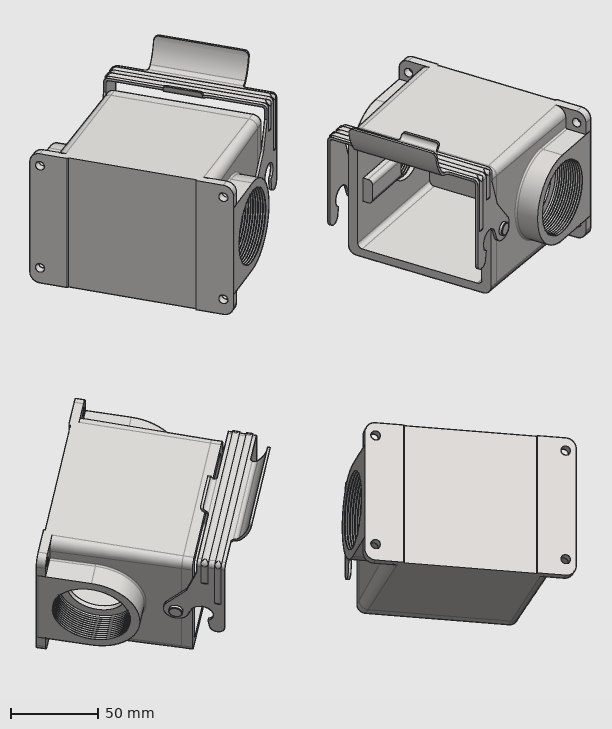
import math

import cadquery as cq


flange_half_x = 124.33 / 2
flange_half_z = 42.25
flange_thickness = 5.5
flange_corner_radius = 6.2
draft_angle = 1.0
screw_hole_diameter = 5.5
screw_hole_half_pitch_x = 55.9
screw_hole_heights = (34.4, -32.4)
relief_half_width = 39.4
relief_depth = 1.0
relief_side_slope = 0.6

body_half_x = 48.8
body_half_z = flange_half_z
body_corner_radius = 6.7
drafted_length = 82.3
mouth_y = 88.5

cavity_half_x = 41.2
cavity_half_z = 35.5
cavity_start_y = 6.5
cavity_corner_radius = 3.0
pad_inner_x = 35.0
pad_half_z = 7.8
pad_edge_radius = 3.0
pad_start_y = 46.0

entry_y = 32.3
entry_radius = 28.35
entry_start_y = 1.1
entry_face_x = 62.145
entry_root_fillet = 1.0
entry_bore_diameter = 35.0
thread_minor_diameter = 45.5
thread_major_diameter = 47.0
thread_pitch = 1.5
thread_count = 11
thread_depth = 17.9

sheet = 1.6
lever_half_x = 49.9
lever_top_z = 46.3
lever_bend_radius = 3.2
lever_back_y = 107.9
lever_front_y = 91.5
pivot_y = 79.5
pivot_pad_radius = 7.5
hook_y = 94.7
hook_radius = 6.6
hook_notch_end_angle = -40.0
hook_tail_radius = 4.5
hook_tail_bottom_z = -14.65
hook_nose = (98.0, -5.4)
hook_nose_radius = 0.8
shoulder_z = 37.0
knee = (85.6, 19.4)
knee_radius = 3.0

rib_height = 0.95
rib_side_height = 0.5
ribs = ((103.9, 3.8, 11.4), (96.1, 4.2, 28.4))

handle_half_x = 28.95
handle_tip = (119.98, 63.9)
handle_bend_start_y = 109.1
handle_bend_radius = 4.2
handle_bend_angle = 51.0
handle_tip_radius = 3.2
handle_neck_radius = 2.3
lip_half_x = 12.1
lip_radius = 4.9
lip_bend_start_y = lever_front_y
lip_top_z = 50.1
lip_tip_radius = 2.1
lip_neck_radius = 1.6

rivet_radius = 4.05
rivet_head_x = 51.95
rivet_chamfer = 0.4
rivet_seat_x = 46.5


def slab(half_x, half_z, corner_radius, start_y, end_y, taper=0):
    """Rounded rectangle in the XZ plane, extruded along +Y."""
    plane = cq.Plane(origin=(0, start_y, 0), xDir=(1, 0, 0), normal=(0, 1, 0))
    outline = cq.Sketch().rect(2 * half_x, 2 * half_z).vertices().fillet(corner_radius)
    return cq.Workplane(plane).placeSketch(outline).extrude(end_y - start_y, taper=taper)


def across_x(profile, half_x):
    """Closed YZ profile extruded symmetrically about X = 0."""
    return profile.extrude(half_x, both=True)


def x_cylinder(radius, start_x, end_x, y=entry_y):
    """Cylinder along X at height Z = 0."""
    return cq.Workplane("YZ", origin=(start_x, y, 0)).circle(radius).extrude(end_x - start_x)


def make_shell():
    """Drafted flange and body with a straight collar at the mouth."""
    flange = slab(flange_half_x, flange_half_z, flange_corner_radius, 0, flange_thickness, draft_angle)
    shrink = drafted_length * math.tan(math.radians(draft_angle))
    body = slab(body_half_x, body_half_z, body_corner_radius, 0, drafted_length, draft_angle)
    collar = slab(
        body_half_x - shrink,
        body_half_z - shrink,
        body_corner_radius - shrink,
        drafted_length,
        mouth_y,
    )
    return flange.union(body).union(collar)


def make_entry_bosses():
    """Round-ended bosses that run from the cable entries down to the flange, on both sides."""
    profile = (
        cq.Workplane("YZ")
        .moveTo(entry_start_y, -entry_radius)
        .lineTo(entry_y, -entry_radius)
        .threePointArc((entry_y + entry_radius, 0), (entry_y, entry_radius))
        .lineTo(entry_start_y, entry_radius)
        .close()
    )
    return across_x(profile, entry_face_x)


def make_wall_pad():
    """Pad on the inside of the +X wall, between the cable entry and the collar."""
    size = (cavity_half_x - pad_inner_x, drafted_length - pad_start_y, 2 * pad_half_z)
    return (
        cq.Workplane("XY")
        .box(*size, centered=(False, False, True))
        .translate((pad_inner_x, pad_start_y, 0))
        .edges("|Y and <X")
        .fillet(pad_edge_radius)
    )


def make_cavity():
    """Wiring space, open at the mouth, that leaves the two wall pads standing."""
    cavity = slab(cavity_half_x, cavity_half_z, cavity_corner_radius, cavity_start_y, mouth_y)
    pad = make_wall_pad()
    return cavity.cut(pad).cut(pad.mirror("YZ"))


def make_thread_bore():
    """Threaded entry bore on the +X side, its thread shaped as closed V grooves."""
    minor = thread_minor_diameter / 2
    major = thread_major_diameter / 2
    floor_x = entry_face_x - thread_depth
    first_groove_x = entry_face_x - thread_count * thread_pitch
    outline = [(floor_x, entry_y), (floor_x, entry_y + minor), (first_groove_x, entry_y + minor)]
    for index in range(thread_count):
        groove_x = first_groove_x + index * thread_pitch
        outline.append((groove_x + thread_pitch / 2, entry_y + major))
        outline.append((groove_x + thread_pitch, entry_y + minor))
    outline.append((entry_face_x, entry_y))
    profile = cq.Workplane("XY").polyline(outline).close()
    return profile.revolve(360, (0, entry_y, 0), (1, entry_y, 0))


def make_flange_relief():
    """Shallow full-height relief with sloped sides in the mounting face."""
    outer = relief_half_width
    inner = outer - relief_side_slope
    return (
        cq.Workplane("XY")
        .polyline([(-outer, 0), (outer, 0), (inner, relief_depth), (-inner, relief_depth)])
        .close()
        .extrude(2 * flange_half_z, both=True)
    )


def make_screw_holes():
    """Four mounting holes through the flange."""
    centres = [
        (side * screw_hole_half_pitch_x, height)
        for side in (-1, 1)
        for height in screw_hole_heights
    ]
    holes = cq.Workplane("XZ").pushPoints(centres).circle(screw_hole_diameter / 2)
    return holes.extrude(-2 * flange_thickness)


def fillet_entry_roots(housing):
    """Round the roots where the entry bosses leave the side walls."""
    reach_z = entry_radius + entry_root_fillet
    for side in (-1, 1):
        wall_x = side * body_half_x
        low_x = wall_x - entry_root_fillet
        high_x = wall_x + entry_root_fillet
        root = cq.selectors.BoxSelector((low_x, 0, -reach_z), (high_x, mouth_y, reach_z))
        housing = housing.edges(root).fillet(entry_root_fillet)
    return housing


def make_housing():
    housing = fillet_entry_roots(make_shell().union(make_entry_bosses()))
    bore = make_thread_bore()
    housing = housing.cut(make_cavity())
    housing = housing.cut(x_cylinder(entry_bore_diameter / 2, -entry_face_x, entry_face_x))
    housing = housing.cut(bore).cut(bore.mirror("YZ"))
    return housing.cut(make_flange_relief()).cut(make_screw_holes())


def bent_band(half_x, top_z, bend_radius, start_y, width, bottom_z):
    """Block with rounded top corners, the outer shape of the bent lever sheet."""
    return (
        cq.Workplane("XY", origin=(0, start_y + width / 2, bottom_z))
        .rect(2 * half_x, width)
        .extrude(top_z - bottom_z)
        .edges("|Y and >Z")
        .fillet(bend_radius)
    )


def make_cheek_outline():
    """Side outline of the lever: pivot pad, hook notch and tail."""
    pad = pivot_pad_radius

    cross_angle = math.acos((pad + hook_radius) / (hook_y - pivot_y))
    cross_cos = math.cos(cross_angle)
    cross_sin = math.sin(cross_angle)
    pad_lower = (pivot_y + pad * cross_cos, -pad * cross_sin)
    hook_front = (hook_y - hook_radius * cross_cos, hook_radius * cross_sin)

    knee_distance = math.hypot(knee[0] - pivot_y, knee[1])
    knee_direction = math.atan2(knee[1], knee[0] - pivot_y)
    touch_angle = knee_direction + math.acos(pad / knee_distance)
    pad_upper = (pivot_y + pad * math.cos(touch_angle), pad * math.sin(touch_angle))
    far_angle = (touch_angle + 2 * math.pi - cross_angle) / 2
    pad_far = (pivot_y + pad * math.cos(far_angle), pad * math.sin(far_angle))

    notch_angle = math.radians(hook_notch_end_angle)
    notch_end = (hook_y + hook_radius * math.cos(notch_angle), hook_radius * math.sin(notch_angle))
    tail_y = lever_back_y - hook_tail_radius
    tail_z = hook_tail_bottom_z + hook_tail_radius
    return (
        cq.Workplane("YZ")
        .moveTo(lever_back_y, lever_top_z)
        .lineTo(lever_front_y, lever_top_z)
        .lineTo(lever_front_y, shoulder_z)
        .lineTo(*knee)
        .lineTo(*pad_upper)
        .threePointArc(pad_far, pad_lower)
        .lineTo(*hook_front)
        .threePointArc((hook_y, hook_radius), notch_end)
        .lineTo(*hook_nose)
        .lineTo(tail_y - hook_tail_radius, tail_z)
        .threePointArc((tail_y, hook_tail_bottom_z), (lever_back_y, tail_z))
        .close()
    )


def make_strap():
    """U-shaped lever sheet: top web and two cheeks."""
    front_y = pivot_y - pivot_pad_radius
    width = lever_back_y - front_y
    outside = bent_band(lever_half_x, lever_top_z, lever_bend_radius, front_y, width, hook_tail_bottom_z)
    inside = bent_band(
        lever_half_x - sheet,
        lever_top_z - sheet,
        lever_bend_radius - sheet,
        front_y,
        width,
        hook_tail_bottom_z,
    )
    cheeks = across_x(make_cheek_outline(), lever_half_x)
    for y, z, radius in ((*knee, knee_radius), (*hook_nose, hook_nose_radius)):
        corner = cq.selectors.NearestToPointSelector((0, y, z))
        cheeks = cheeks.edges("|X").edges(corner).fillet(radius)
    return outside.cut(inside).intersect(cheeks)


def make_rib(centre_y, width, end_z):
    """Crowned rib that wraps over the web and down both cheeks."""
    half_x = lever_half_x + rib_side_height
    top_z = lever_top_z + rib_height
    band = bent_band(half_x, top_z, lever_bend_radius + rib_side_height, centre_y - width / 2, width, end_z)
    core = bent_band(
        lever_half_x - sheet / 2,
        lever_top_z - sheet / 2,
        lever_bend_radius - sheet / 2,
        centre_y - width / 2,
        width,
        end_z,
    )
    web_crown = (
        cq.Workplane("YZ")
        .moveTo(centre_y - width / 2, end_z)
        .lineTo(centre_y - width / 2, lever_top_z)
        .threePointArc((centre_y, top_z), (centre_y + width / 2, lever_top_z))
        .lineTo(centre_y + width / 2, end_z)
        .close()
    )
    cheek_crown = (
        cq.Workplane("XY", origin=(0, 0, end_z))
        .moveTo(-lever_half_x, centre_y - width / 2)
        .lineTo(lever_half_x, centre_y - width / 2)
        .threePointArc((half_x, centre_y), (lever_half_x, centre_y + width / 2))
        .lineTo(-lever_half_x, centre_y + width / 2)
        .threePointArc((-half_x, centre_y), (-lever_half_x, centre_y - width / 2))
        .close()
        .extrude(top_z - end_z)
    )
    return band.cut(core).intersect(across_x(web_crown, half_x)).intersect(cheek_crown)


def neck_outline(half_x, start_y, end_y, neck_y, neck_radius):
    """Upright prism of a tongue whose flanks flare with concave fillets into the lever web at neck_y."""
    flare = half_x + neck_radius
    step = math.copysign(neck_radius, end_y - neck_y)
    bulge = neck_radius * (1 - math.sqrt(0.5))
    return (
        cq.Workplane("XY")
        .moveTo(-flare, start_y)
        .lineTo(flare, start_y)
        .lineTo(flare, neck_y)
        .threePointArc((half_x + bulge, neck_y + math.copysign(bulge, step)), (half_x, neck_y + step))
        .lineTo(half_x, end_y)
        .lineTo(-half_x, end_y)
        .lineTo(-half_x, neck_y + step)
        .threePointArc((-half_x - bulge, neck_y + math.copysign(bulge, step)), (-flare, neck_y))
        .close()
        .extrude(2 * lever_top_z)
    )


def round_tip(tongue, half_x, y, z, radius):
    """Round the two free corners of a tongue near the tip point (y, z)."""
    for side in (-1, 1):
        corner = cq.selectors.NearestToPointSelector((side * half_x, y, z))
        tongue = tongue.edges(corner).fillet(radius)
    return tongue


def make_handle():
    """Curved finger handle: a tight bend followed by a wide arc up to the tip."""
    angle = math.radians(handle_bend_angle)
    bend_z = lever_top_z + handle_bend_radius
    tip_y, tip_z = handle_tip

    def bend_point(radius, turn):
        return (handle_bend_start_y + radius * math.sin(turn), bend_z - radius * math.cos(turn))

    outer_bend = handle_bend_radius + sheet
    outer_end = bend_point(outer_bend, angle)
    inner_end = bend_point(handle_bend_radius, angle)

    normal = (-math.sin(angle), math.cos(angle))
    to_tip = (tip_y - outer_end[0], tip_z - outer_end[1])
    outer_radius = (to_tip[0] ** 2 + to_tip[1] ** 2) / (2 * (to_tip[0] * normal[0] + to_tip[1] * normal[1]))
    inner_radius = outer_radius - sheet
    centre_y = outer_end[0] + outer_radius * normal[0]
    centre_z = outer_end[1] + outer_radius * normal[1]
    inner_tip_y = centre_y + math.sqrt(inner_radius ** 2 - (tip_z - centre_z) ** 2)
    middle = (angle - math.pi / 2 + math.atan2(tip_z - centre_z, tip_y - centre_y)) / 2

    def arc_middle(radius):
        return (centre_y + radius * math.cos(middle), centre_z + radius * math.sin(middle))

    profile = (
        cq.Workplane("YZ")
        .moveTo(lever_front_y, lever_top_z)
        .lineTo(handle_bend_start_y, lever_top_z)
        .threePointArc(bend_point(handle_bend_radius, angle / 2), inner_end)
        .threePointArc(arc_middle(inner_radius), (inner_tip_y, tip_z))
        .lineTo(tip_y, tip_z)
        .threePointArc(arc_middle(outer_radius), outer_end)
        .threePointArc(bend_point(outer_bend, angle / 2), (handle_bend_start_y, lever_top_z - sheet))
        .lineTo(lever_front_y, lever_top_z - sheet)
        .close()
    )
    plan = neck_outline(handle_half_x, lever_front_y, 2 * lever_back_y, lever_back_y, handle_neck_radius)
    handle = across_x(profile, lever_half_x).intersect(plan)
    return round_tip(handle, handle_half_x, (tip_y + inner_tip_y) / 2, tip_z, handle_tip_radius)


def make_lip():
    """Short lip that curls up at the front edge of the lever web."""
    curl_z = lever_top_z - sheet + lip_radius
    inner_radius = lip_radius - sheet
    half_root = math.sqrt(0.5)
    outer_y = lip_bend_start_y - lip_radius
    inner_y = outer_y + sheet
    profile = (
        cq.Workplane("YZ")
        .moveTo(lever_back_y, lever_top_z - sheet)
        .lineTo(lip_bend_start_y, lever_top_z - sheet)
        .threePointArc(
            (lip_bend_start_y - lip_radius * half_root, curl_z - lip_radius * half_root),
            (outer_y, curl_z),
        )
        .lineTo(outer_y, lip_top_z)
        .lineTo(inner_y, lip_top_z)
        .lineTo(inner_y, curl_z)
        .threePointArc(
            (lip_bend_start_y - inner_radius * half_root, curl_z - inner_radius * half_root),
            (lip_bend_start_y, lever_top_z),
        )
        .lineTo(lever_back_y, lever_top_z)
        .close()
    )
    plan = neck_outline(lip_half_x, lever_back_y, 0, lever_front_y, lip_neck_radius)
    lip = across_x(profile, lever_half_x).intersect(plan)
    return round_tip(lip, lip_half_x, outer_y + sheet / 2, lip_top_z, lip_tip_radius)


def make_lever():
    lever = make_strap().union(make_handle()).union(make_lip())
    for centre_y, width, end_z in ribs:
        lever = lever.union(make_rib(centre_y, width, end_z))
    return lever


def make_rivet():
    """Rivet that joins the +X cheek to the housing wall."""
    return x_cylinder(rivet_radius, rivet_seat_x, rivet_head_x, pivot_y).faces(">X").chamfer(rivet_chamfer)


rivet = make_rivet()
result = make_housing().union(make_lever()).union(rivet).union(rivet.mirror("YZ"))